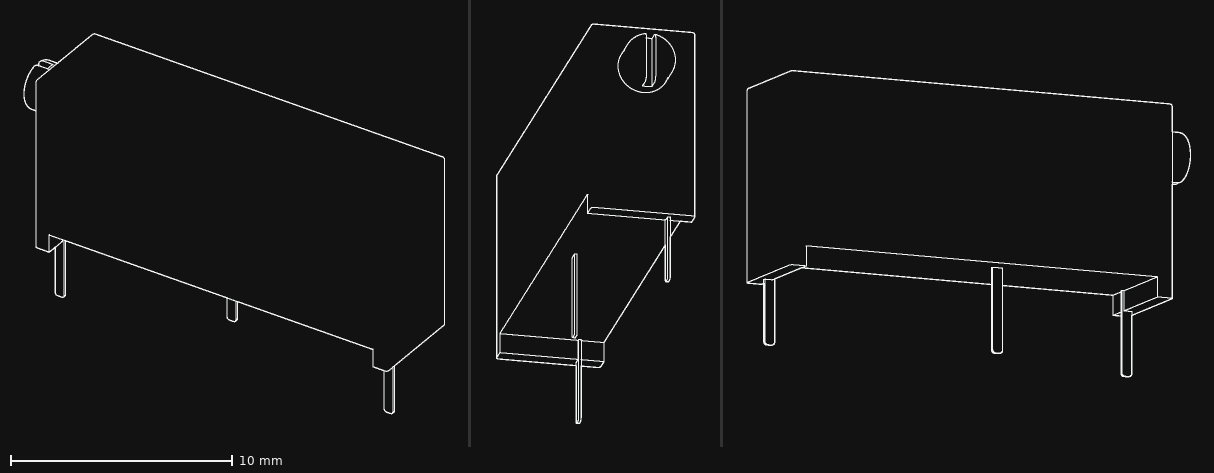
import cadquery as cq

body_length = 19.05
body_width = 4.83
body_height = 8.97
edge_radius = 0.15
foot_length = 0.78
foot_height = 0.93

screw_diameter = 2.37
screw_length = 1.52
screw_drop = 2.0
screw_fillet = 0.27
slot_width = 0.43
slot_depth = 0.78

pin_width = 0.5
pin_thickness = 0.12
pin_length = 3.0
pin_tip_radius = 0.15
row_offset = 1.28
middle_pin_pitch = 7.61
last_pin_pitch = 17.77
first_pin_x = (body_length - last_pin_pitch) / 2
pin_positions = [
    (first_pin_x, -row_offset),
    (first_pin_x + middle_pin_pitch, row_offset),
    (first_pin_x + last_pin_pitch, -row_offset),
]


def make_body():
    """Block with rounded top and upright edges, and a foot across each end."""
    block = (
        cq.Workplane("XY")
        .box(body_length, body_width, body_height, centered=(False, True, False))
        .edges("|Z or >Z")
        .fillet(edge_radius)
    )
    recess = (
        cq.Workplane("XY")
        .box(body_length - 2 * foot_length, body_width, foot_height, centered=(False, True, False))
        .translate((foot_length, 0, 0))
    )
    return block.cut(recess)


def make_screw():
    """Round screw head with a rounded rim and an upright driver slot."""
    head = (
        cq.Workplane("YZ")
        .circle(screw_diameter / 2)
        .extrude(-screw_length)
        .faces("<X")
        .edges()
        .fillet(screw_fillet)
    )
    slot = (
        cq.Workplane("XY")
        .box(slot_depth, slot_width, screw_diameter, centered=(False, True, True))
        .translate((-screw_length, 0, 0))
    )
    return head.cut(slot).translate((0, 0, body_height - screw_drop))


def make_pin(x, y):
    """Flat pin with rounded tip corners, reaching up to the underside of the recess."""
    return (
        cq.Workplane("XY")
        .box(pin_width, pin_thickness, pin_length + foot_height, centered=(True, True, False))
        .faces("<Z")
        .edges("|Y")
        .fillet(pin_tip_radius)
        .translate((x, y, -pin_length))
    )


result = make_body().union(make_screw())
for pin_x, pin_y in pin_positions:
    result = result.union(make_pin(pin_x, pin_y))